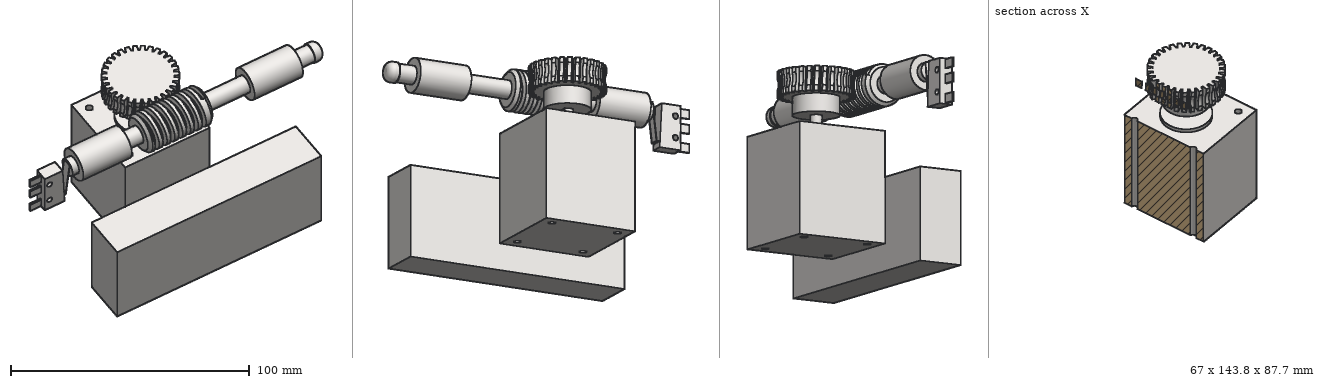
import cadquery as cq
import math


MOTOR_WIDTH = 42.0
MOTOR_HEIGHT = 48.0
PILOT_DIAMETER = 22.0
PILOT_HEIGHT = 1.7
MOTOR_SHAFT_DIAMETER = 5.0
SHAFT_FLAT_OFFSET = 2.0
MOUNT_HOLE_DIAMETER = 3.0
MOUNT_HOLE_SPACING = 31.0

WHEEL_BOTTOM = 15.5
WHEEL_THICKNESS = 10.5
WHEEL_TIP_RADIUS = 16.4
WHEEL_ROOT_RADIUS = 14.1
TOOTH_COUNT = 30
TOOTH_TIP_WIDTH = 1.7
TOOTH_ROOT_WIDTH = 2.3
TOOTH_TWIST = 1.5
THROAT_RADIUS = 8.2
HUB_DIAMETER = 20.0
HUB_HEIGHT = 7.8

WORM_DIAMETER = 18.0
WORM_LENGTH = 32.0
WORM_CENTRE_Y = -0.3
WORM_END_DIAMETER = 15.0
THREAD_PITCH = 3.9
THREAD_TURNS = 7.25
THREAD_START_ANGLE = 205
GROOVE_DEPTH = 2.2
GROOVE_TOP_WIDTH = 2.0
GROOVE_ROOT_WIDTH = 0.7

ROD_X = 24.0
ROD_Z = WHEEL_BOTTOM + WHEEL_THICKNESS / 2
ROD_DIAMETER = 8.0
ROD_END_Y = -51.5
CAP_START_Y = 68.7
CAP_DIAMETER = 8.9
CAP_LENGTH = 4.9
CAP_ROUNDING = 2.9
BEARING_DIAMETER = 15.0
BEARING_LENGTH = 24.0
BEARING_START_YS = (-48.3, 36.7)

BLOCK_WIDTH = 20.0
BLOCK_LENGTH = 101.4
BLOCK_HEIGHT = 40.1
BLOCK_LEFT_X = 26.0
BLOCK_FRONT_Y = -40.8
BLOCK_TOP_Z = -17.8

SWITCH_WIDTH = 6.0
SWITCH_HEIGHT = 19.4
SWITCH_BOTTOM_Z = 4.7
SWITCH_BACK_Y = -64.7
SWITCH_BOTTOM_DEPTH = 9.9
SWITCH_TOP_DEPTH = 8.9
SWITCH_HOLE_DIAMETER = 2.5
SWITCH_HOLE_INSET = 2.5
SWITCH_HOLE_ZS = (9.9, 19.4)
TERMINAL_LENGTH = 5.5
TERMINAL_HEIGHT = 3.9
TERMINAL_THICKNESS = 0.9
TERMINAL_CENTRE_ZS = (7.0, 15.4, 21.9)

LEVER_WIDTH = 4.3
LEVER_THICKNESS = 0.3
LEVER_TOP_Z = 24.5
LEVER_BOTTOM_Z = 7.5
LEVER_TOP_Y = -51.6
LEVER_BOTTOM_Y = -53.6


def rod_axis_cylinder(diameter, start_y, length):
    """Cylinder on the rod axis, from start_y toward +Y."""
    return (
        cq.Workplane("XZ", origin=(ROD_X, start_y, ROD_Z))
        .circle(diameter / 2)
        .extrude(-length)
    )


def motor_shaft():
    """D-shaped shaft that ends at the underside of the worm wheel's toothed rim."""
    shaft = cq.Workplane("XY").circle(MOTOR_SHAFT_DIAMETER / 2).extrude(WHEEL_BOTTOM)
    beyond_flat = (
        cq.Workplane("XY")
        .center(0, SHAFT_FLAT_OFFSET + MOTOR_SHAFT_DIAMETER / 2)
        .rect(MOTOR_SHAFT_DIAMETER, MOTOR_SHAFT_DIAMETER)
        .extrude(WHEEL_BOTTOM)
    )
    return shaft.cut(beyond_flat)


def make_motor():
    case = (
        cq.Workplane("XY")
        .rect(MOTOR_WIDTH, MOTOR_WIDTH)
        .extrude(-MOTOR_HEIGHT)
        .faces(">Z")
        .workplane()
        .rect(MOUNT_HOLE_SPACING, MOUNT_HOLE_SPACING, forConstruction=True)
        .vertices()
        .hole(MOUNT_HOLE_DIAMETER)
    )
    pilot = cq.Workplane("XY").circle(PILOT_DIAMETER / 2).extrude(PILOT_HEIGHT)
    return case.union(pilot).union(motor_shaft())


def tooth_point(radius, width, angle, side):
    """Corner of the tooth at the given angle; side is -1 or 1."""
    corner_angle = angle + side * math.asin(width / 2 / radius)
    return radius * math.cos(corner_angle), radius * math.sin(corner_angle)


def wheel_outline():
    points = []
    for index in range(TOOTH_COUNT):
        angle = 2 * math.pi * index / TOOTH_COUNT
        points.append(tooth_point(WHEEL_ROOT_RADIUS, TOOTH_ROOT_WIDTH, angle, -1))
        points.append(tooth_point(WHEEL_TIP_RADIUS, TOOTH_TIP_WIDTH, angle, -1))
        points.append(tooth_point(WHEEL_TIP_RADIUS, TOOTH_TIP_WIDTH, angle, 1))
        points.append(tooth_point(WHEEL_ROOT_RADIUS, TOOTH_ROOT_WIDTH, angle, 1))
    return points


def make_worm_wheel():
    rim = (
        cq.Workplane("XY")
        .polyline(wheel_outline())
        .close()
        .twistExtrude(WHEEL_THICKNESS, TOOTH_TWIST)
        .rotate((0, 0, 0), (0, 0, 1), -TOOTH_TWIST)
        .translate((0, 0, WHEEL_BOTTOM))
    )
    throat = cq.Workplane("XY").add(
        cq.Solid.makeTorus(ROD_X, THROAT_RADIUS, cq.Vector(0, 0, ROD_Z), cq.Vector(0, 0, 1))
    )
    hub = (
        cq.Workplane("XY", origin=(0, 0, WHEEL_BOTTOM - HUB_HEIGHT))
        .circle(HUB_DIAMETER / 2)
        .extrude(HUB_HEIGHT)
    )
    worm_clearance = rod_axis_cylinder(WORM_DIAMETER, WORM_CENTRE_Y - WORM_LENGTH / 2, WORM_LENGTH)
    return rim.cut(throat).union(hub).cut(worm_clearance).cut(motor_shaft())


def thread_groove():
    """Helical cutter about the Z axis, centred on the origin, with a trapezoid section."""
    outer_radius = WORM_DIAMETER / 2
    root_radius = outer_radius - GROOVE_DEPTH
    overshoot = 0.5
    flank_spread = (GROOVE_TOP_WIDTH - GROOVE_ROOT_WIDTH) / 2 / GROOVE_DEPTH
    outer_half_width = GROOVE_TOP_WIDTH / 2 + flank_spread * overshoot
    length = THREAD_PITCH * THREAD_TURNS
    helix = cq.Workplane("XY").add(cq.Wire.makeHelix(THREAD_PITCH, length, root_radius))
    groove = (
        cq.Workplane("XZ")
        .moveTo(root_radius, -GROOVE_ROOT_WIDTH / 2)
        .lineTo(outer_radius + overshoot, -outer_half_width)
        .lineTo(outer_radius + overshoot, outer_half_width)
        .lineTo(root_radius, GROOVE_ROOT_WIDTH / 2)
        .close()
        .sweep(helix, isFrenet=True)
    )
    return groove.translate((0, 0, -length / 2)).rotate((0, 0, 0), (0, 0, 1), THREAD_START_ANGLE)


def make_worm():
    blank = (
        cq.Workplane("XY", origin=(0, 0, -WORM_LENGTH / 2))
        .circle(WORM_DIAMETER / 2)
        .extrude(WORM_LENGTH)
        .edges()
        .chamfer((WORM_DIAMETER - WORM_END_DIAMETER) / 2)
    )
    bore = cq.Workplane("XY").circle(ROD_DIAMETER / 2).extrude(WORM_LENGTH, both=True)
    return (
        blank.cut(thread_groove())
        .cut(bore)
        .rotate((0, 0, 0), (1, 0, 0), -90)
        .translate((ROD_X, WORM_CENTRE_Y, ROD_Z))
    )


def make_rod():
    return rod_axis_cylinder(ROD_DIAMETER, ROD_END_Y, CAP_START_Y - ROD_END_Y)


def make_cap():
    return rod_axis_cylinder(CAP_DIAMETER, CAP_START_Y, CAP_LENGTH).edges(">Y").fillet(CAP_ROUNDING)


def make_bearing(start_y):
    bore = rod_axis_cylinder(ROD_DIAMETER, start_y, BEARING_LENGTH)
    return rod_axis_cylinder(BEARING_DIAMETER, start_y, BEARING_LENGTH).cut(bore)


def make_block():
    return cq.Workplane("XY").box(BLOCK_WIDTH, BLOCK_LENGTH, BLOCK_HEIGHT, centered=False).translate(
        (BLOCK_LEFT_X, BLOCK_FRONT_Y, BLOCK_TOP_Z - BLOCK_HEIGHT)
    )


def switch_face_y(z):
    """Y of the sloping switch face behind the lever, at height z."""
    slope = (SWITCH_TOP_DEPTH - SWITCH_BOTTOM_DEPTH) / SWITCH_HEIGHT
    return SWITCH_BACK_Y + SWITCH_BOTTOM_DEPTH + slope * (z - SWITCH_BOTTOM_Z)


def switch_plane():
    """YZ plane through the middle of the switch."""
    return cq.Workplane("YZ", origin=(ROD_X, 0, 0))


def make_switch():
    top_z = SWITCH_BOTTOM_Z + SWITCH_HEIGHT
    outline = [
        (SWITCH_BACK_Y, SWITCH_BOTTOM_Z),
        (switch_face_y(SWITCH_BOTTOM_Z), SWITCH_BOTTOM_Z),
        (switch_face_y(top_z), top_z),
        (SWITCH_BACK_Y, top_z),
    ]
    case = switch_plane().polyline(outline).close().extrude(SWITCH_WIDTH / 2, both=True)
    hole_centres = [(SWITCH_BACK_Y + SWITCH_HOLE_INSET, z) for z in SWITCH_HOLE_ZS]
    holes = (
        switch_plane()
        .pushPoints(hole_centres)
        .circle(SWITCH_HOLE_DIAMETER / 2)
        .extrude(SWITCH_WIDTH, both=True)
    )
    terminal_centres = [(SWITCH_BACK_Y - TERMINAL_LENGTH / 2, z) for z in TERMINAL_CENTRE_ZS]
    terminals = (
        switch_plane()
        .pushPoints(terminal_centres)
        .rect(TERMINAL_LENGTH, TERMINAL_HEIGHT)
        .extrude(TERMINAL_THICKNESS / 2, both=True)
    )
    return case.cut(holes).union(terminals)


def make_lever():
    """Thin leaning strip with a foot that meets the switch face."""
    foot_top_z = LEVER_BOTTOM_Z + LEVER_THICKNESS
    lean = (LEVER_TOP_Y - LEVER_BOTTOM_Y) / (LEVER_TOP_Z - LEVER_BOTTOM_Z)
    inner_corner_y = LEVER_BOTTOM_Y - LEVER_THICKNESS + lean * LEVER_THICKNESS
    outline = [
        (LEVER_BOTTOM_Y, LEVER_BOTTOM_Z),
        (LEVER_TOP_Y, LEVER_TOP_Z),
        (LEVER_TOP_Y - LEVER_THICKNESS, LEVER_TOP_Z),
        (inner_corner_y, foot_top_z),
        (switch_face_y(foot_top_z), foot_top_z),
        (switch_face_y(LEVER_BOTTOM_Z), LEVER_BOTTOM_Z),
    ]
    return switch_plane().polyline(outline).close().extrude(LEVER_WIDTH / 2, both=True)


motor = make_motor()
worm_wheel = make_worm_wheel()
worm = make_worm()
rod = make_rod()
cap = make_cap()
bearings = [make_bearing(start_y) for start_y in BEARING_START_YS]
block = make_block()
switch = make_switch()
lever = make_lever()

result = cq.Compound.makeCompound(
    [
        motor.val(),
        worm_wheel.val(),
        worm.val(),
        rod.val(),
        cap.val(),
        *[bearing.val() for bearing in bearings],
        block.val(),
        switch.val(),
        lever.val(),
    ]
)